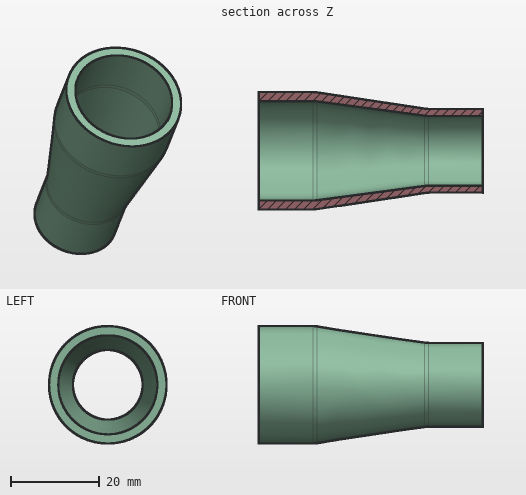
import cadquery as cq
import math

length = 50.8
large_outer_diameter = 26.65
large_inner_diameter = 22.45
small_outer_diameter = 19.05
small_inner_diameter = 15.75

straight_length = 12.3
blend_length = 0.95
corner_x = straight_length + blend_length / 2


def tapered_body(large_diameter, small_diameter):
    """Solid about the X axis: cylinder, cone, cylinder, with rounded transitions."""
    large_radius = large_diameter / 2
    small_radius = small_diameter / 2
    taper_length = length - 2 * corner_x
    taper_angle = math.atan((large_radius - small_radius) / taper_length)
    blend_radius = blend_length / 2 / math.tan(taper_angle / 2)

    body = (
        cq.Workplane("XY")
        .moveTo(0, 0)
        .lineTo(0, large_radius)
        .lineTo(corner_x, large_radius)
        .lineTo(length - corner_x, small_radius)
        .lineTo(length, small_radius)
        .lineTo(length, 0)
        .close()
        .revolve(360, (0, 0, 0), (1, 0, 0))
    )
    transition_edges = cq.selectors.BoxSelector(
        (corner_x - blend_length, -length, -length),
        (length - corner_x + blend_length, length, length),
    )
    return body.edges("%CIRCLE").edges(transition_edges).fillet(blend_radius)


outer_body = tapered_body(large_outer_diameter, small_outer_diameter)
bore = tapered_body(large_inner_diameter, small_inner_diameter)
result = outer_body.cut(bore)